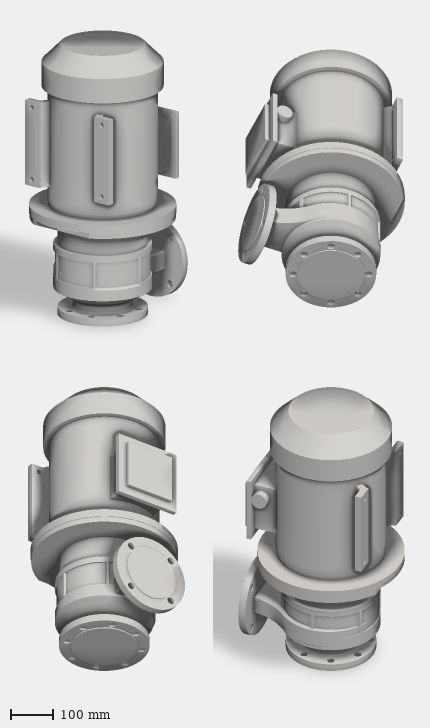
import cadquery as cq
import math


total_height = 673.0
raised_face = 3.0
suction_flange_top = 21.5
neck_bottom_fillet = 6.0
cone_bottom_z = 42.0
neck_top_fillet = 5.0
cone_top_z = 68.5
casing_top_z = 101.0
window_top_z = 164.0
rim_top_z = 179.5
lantern_flange_bottom_z = 241.0
joint_z = 255.0
motor_flange_top_z = 275.5
motor_barrel_bottom_z = 285.0
cowl_bottom_z = 568.5
cowl_bevel = 44.0

suction_flange_radius = 107.5
suction_face_radius = 79.0
neck_radius = 70.5
casing_radius = 117.2
window_wall_radius = 113.4
rim_radius = 117.5
lantern_radius = 107.5
lantern_flange_radius = 173.5
lantern_flat_distance = 151.0

suction_bolt_count = 8
suction_bolt_circle = 180.0
discharge_bolt_count = 4
discharge_bolt_circle = 160.0
bolt_hole_diameter = 18.0

rib_count = 6
rib_tip_width = 6.5
rib_root_width = 10.5
rib_embed = 5.0

ledge_drop = 6.0
ledge_start_angle = -60.0
ledge_sweep = 60.0

discharge_z = 100.0
volute_height = 50.0
volute_chamfer = 4.0
volute_start_radius = 114.3
volute_start_angle = 249.5
volute_end_radius = 122.6
volute_end_angle = 135.0
pipe_half_width = 43.5
discharge_face_y = 200.0
discharge_raised_face = 2.5
discharge_flange_thickness = 18.0
discharge_flange_radius = 97.5
discharge_face_radius = 69.0
discharge_flange_back_y = discharge_face_y - discharge_raised_face - discharge_flange_thickness

motor_flange_radius = 175.0
motor_spigot_radius = 129.5
motor_barrel_radius = 131.0
cowl_radius = 145.0

foot_bottom_z = 327.5
foot_height = 211.0
foot_outer_x = 129.0
foot_inner_x = 84.0
foot_face_y = -132.0
foot_thickness = 16.0
web_angle = 56.0
web_inner_y = -127.0
web_outer_x = 97.5
web_length = 35.0
foot_hole_diameter = 13.0
foot_hole_x = 108.0
foot_hole_inset = 16.5

box_width = 123.5
box_center_z = 394.0
box_outer_y = 194.0
lid_width = 164.5
lid_inner_y = 171.5
lid_thickness = 11.5
gland_radius = 19.5
gland_y = 151.5
gland_z = 425.0
gland_tip_x = -lid_width / 2


def disc(radius, bottom, top):
    """Cylinder on the shaft axis between two levels."""
    return cq.Workplane("XY").workplane(offset=bottom).circle(radius).extrude(top - bottom)


def polar(radius, angle):
    """Point in the XY plane, with the angle in degrees from +X."""
    return (radius * math.cos(math.radians(angle)), radius * math.sin(math.radians(angle)))


def suction_end():
    """Drilled flange with raised face, neck and cone, up to the casing."""
    flange = disc(suction_flange_radius, raised_face, suction_flange_top)
    holes = (
        cq.Workplane("XY")
        .polarArray(suction_bolt_circle / 2, 180 / suction_bolt_count, 360, suction_bolt_count)
        .circle(bolt_hole_diameter / 2)
        .extrude(suction_flange_top)
    )
    face = disc(suction_face_radius, 0, raised_face)

    fillet_middle = neck_bottom_fillet * (1 - math.sqrt(0.5))
    neck = (
        cq.Workplane("XZ")
        .moveTo(0, suction_flange_top)
        .lineTo(neck_radius + neck_bottom_fillet, suction_flange_top)
        .threePointArc(
            (neck_radius + fillet_middle, suction_flange_top + fillet_middle),
            (neck_radius, suction_flange_top + neck_bottom_fillet),
        )
        .lineTo(neck_radius, cone_bottom_z)
        .lineTo(casing_radius, cone_top_z)
        .lineTo(0, cone_top_z)
        .close()
        .revolve(360, (0, 0, 0), (0, 1, 0))
    )
    selection_margin = 1.0
    cone_root = cq.selectors.BoxSelector(
        (-casing_radius, -casing_radius, cone_bottom_z - selection_margin),
        (casing_radius, casing_radius, cone_bottom_z + selection_margin),
    )
    neck = neck.edges(cone_root).fillet(neck_top_fillet)
    return flange.cut(holes).union(face).union(neck)


def window_ring():
    """Recessed wall between casing and rim, crossed by ribs that widen toward the wall."""
    ring = disc(window_wall_radius, casing_top_z, window_top_z)
    root_radius = window_wall_radius - rib_embed
    flare = (rib_root_width - rib_tip_width) / (rim_radius - window_wall_radius)
    root_half = rib_root_width / 2
    tip_half = rib_tip_width / 2
    overshoot = 1.0
    beyond_half = tip_half - overshoot * flare / 2
    rib = (
        cq.Workplane("XY")
        .workplane(offset=casing_top_z)
        .polyline([
            (root_radius, -root_half),
            (window_wall_radius, -root_half),
            (rim_radius + overshoot, -beyond_half),
            (rim_radius + overshoot, beyond_half),
            (window_wall_radius, root_half),
            (root_radius, root_half),
        ])
        .close()
        .extrude(window_top_z - casing_top_z)
        .intersect(disc(rim_radius, casing_top_z, window_top_z))
    )
    for index in range(rib_count):
        ring = ring.union(rib.rotate((0, 0, 0), (0, 0, 1), index * 360 / rib_count))
    return ring


def window_ledge_cut():
    """Wedge that slopes the top edge of the casing below one window."""
    return (
        cq.Workplane("XZ")
        .polyline([
            (window_wall_radius, casing_top_z),
            (casing_radius, casing_top_z),
            (casing_radius, casing_top_z - ledge_drop),
        ])
        .close()
        .revolve(ledge_sweep, (0, 0, 0), (0, 1, 0))
        .rotate((0, 0, 0), (0, 0, 1), ledge_start_angle)
    )


def volute():
    """Spiral that swells out of the wall and runs into the discharge pipe."""
    middle_radius = (volute_start_radius + volute_end_radius) / 2
    middle_angle = (volute_start_angle + volute_end_angle) / 2
    return (
        cq.Workplane("XY")
        .workplane(offset=discharge_z - volute_height / 2)
        .moveTo(*polar(volute_start_radius, volute_start_angle))
        .threePointArc(
            polar(middle_radius, middle_angle),
            polar(volute_end_radius, volute_end_angle),
        )
        .tangentArcPoint((-pipe_half_width, discharge_flange_back_y), relative=False)
        .lineTo(pipe_half_width, discharge_flange_back_y)
        .lineTo(pipe_half_width, 0)
        .close()
        .extrude(volute_height)
        .faces("|Z")
        .edges()
        .chamfer(volute_chamfer)
    )


def discharge_flange():
    """Round drilled flange with raised face, facing +Y."""
    back = cq.Workplane("XZ", origin=(0, discharge_flange_back_y, discharge_z))
    flange = back.circle(discharge_flange_radius).extrude(-discharge_flange_thickness)
    holes = (
        back.polarArray(discharge_bolt_circle / 2, 180 / discharge_bolt_count, 360, discharge_bolt_count)
        .circle(bolt_hole_diameter / 2)
        .extrude(-discharge_flange_thickness)
    )
    face = (
        back.workplane(offset=-discharge_flange_thickness)
        .circle(discharge_face_radius)
        .extrude(-discharge_raised_face)
    )
    return flange.cut(holes).union(face)


def lantern():
    """Rim, cylinder and mounting flange that carry the motor; the flange has a flat at -Y."""
    rim = disc(rim_radius, window_top_z, rim_top_z)
    tube = disc(lantern_radius, rim_top_z, lantern_flange_bottom_z)
    flange_length = lantern_flange_radius + lantern_flat_distance
    flat_limit = cq.Workplane("XY").box(
        2 * lantern_flange_radius, flange_length, joint_z, centered=(True, False, False)
    ).translate((0, -lantern_flat_distance, 0))
    flange = disc(lantern_flange_radius, lantern_flange_bottom_z, joint_z).intersect(flat_limit)
    return rim.union(tube).union(flange)


def make_pump():
    casing = disc(casing_radius, cone_top_z, casing_top_z).cut(window_ledge_cut())
    return (
        suction_end()
        .union(casing)
        .union(window_ring())
        .union(volute())
        .union(discharge_flange())
        .union(lantern())
    )


def motor_foot():
    """Drilled foot on the +X side: a plate facing -Y on a slanted web."""
    plate_back_y = foot_face_y + foot_thickness
    web_run = web_length * math.cos(math.radians(web_angle))
    web_rise = web_length * math.sin(math.radians(web_angle))
    foot = (
        cq.Workplane("XY")
        .workplane(offset=foot_bottom_z)
        .polyline([
            (foot_inner_x, foot_face_y),
            (foot_outer_x, foot_face_y),
            (foot_outer_x, plate_back_y),
            (web_outer_x, plate_back_y),
            (web_outer_x - web_run, plate_back_y + web_rise),
            (foot_inner_x - web_run, web_inner_y + web_rise),
            (foot_inner_x, web_inner_y),
        ])
        .close()
        .extrude(foot_height)
    )
    hole_levels = (foot_bottom_z + foot_hole_inset, foot_bottom_z + foot_height - foot_hole_inset)
    holes = (
        cq.Workplane("XZ", origin=(0, foot_face_y, 0))
        .pushPoints([(foot_hole_x, level) for level in hole_levels])
        .circle(foot_hole_diameter / 2)
        .extrude(-foot_thickness)
    )
    return foot.cut(holes)


def terminal_box():
    """Square box on the +Y side with a wider lid plate and a cable gland at -X."""
    box = cq.Workplane("XY").box(
        box_width, box_outer_y, box_width, centered=(True, False, True)
    ).translate((0, 0, box_center_z))
    lid = cq.Workplane("XY").box(
        lid_width, lid_thickness, lid_width, centered=(True, False, True)
    ).translate((0, lid_inner_y, box_center_z))
    gland = (
        cq.Workplane("YZ", origin=(gland_tip_x, gland_y, gland_z))
        .circle(gland_radius)
        .extrude(-gland_tip_x)
    )
    return box.union(lid).union(gland)


def make_motor():
    cowl = disc(cowl_radius, cowl_bottom_z, total_height).faces(">Z").chamfer(cowl_bevel)
    foot = motor_foot()
    return (
        disc(motor_flange_radius, joint_z, motor_flange_top_z)
        .union(disc(motor_spigot_radius, motor_flange_top_z, motor_barrel_bottom_z))
        .union(disc(motor_barrel_radius, motor_barrel_bottom_z, cowl_bottom_z))
        .union(cowl)
        .union(foot)
        .union(foot.mirror("YZ"))
        .union(terminal_box())
    )


pump = make_pump()
motor = make_motor()

result = cq.Compound.makeCompound([pump.val(), motor.val()])